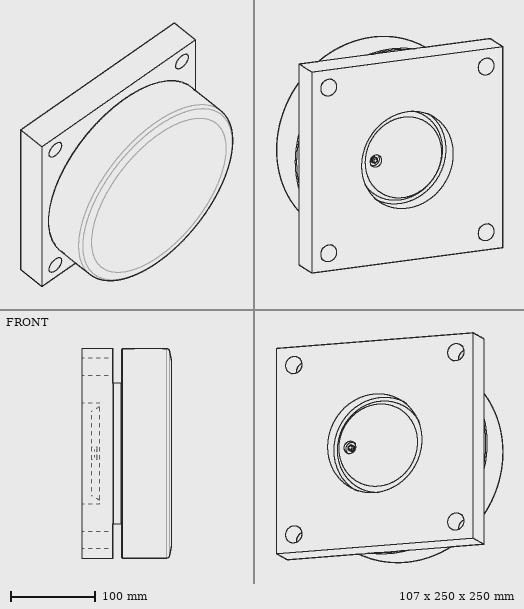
import cadquery as cq
import math

plate_side = 250.0
plate_thickness = 37.0
mount_hole_diameter = 20.8
mount_hole_spacing = 206.0

neck_diameter = 168.0
neck_chamfer = 0.5

roller_start = 47.0
overall_length = 107.0
crown_diameter = 250.0
crown_radius = 1500.0
crown_middle = 74.5
rim_chamfer = 1.2
nose_corner = 104.0
nose_diameter = 219.0
nose_fillet = 4.0

bore_diameter = 120.0
bore_depth = 21.0
hub_diameter = 111.0
hub_face_diameter = 100.0
hub_face_depth = 11.5

nipple_offset = 36.0
nipple_pocket_diameter = 15.0
nipple_pocket_depth = 6.5
hex_across_flats = 7.0
hex_height = 3.0
nipple_head_diameter = 6.5
nipple_tip_diameter = 4.2
nipple_head_height = 2.0


def disc(start, length, diameter):
    """Cylinder about the X axis, running toward +X from the given start."""
    return cq.Workplane("YZ", origin=(start, 0, 0)).circle(diameter / 2).extrude(length)


def crown_height(x):
    """Radius of the crowned tread at the given X."""
    drop = crown_radius - math.sqrt(crown_radius**2 - (x - crown_middle) ** 2)
    return crown_diameter / 2 - drop


def make_plate():
    plate = cq.Workplane("YZ").rect(plate_side, plate_side).extrude(plate_thickness)
    holes = (
        cq.Workplane("YZ")
        .rect(mount_hole_spacing, mount_hole_spacing, forConstruction=True)
        .vertices()
        .circle(mount_hole_diameter / 2)
        .extrude(plate_thickness)
    )
    return plate.cut(holes)


def make_neck():
    neck = disc(plate_thickness, roller_start - plate_thickness, neck_diameter)
    return neck.edges().chamfer(neck_chamfer)


def make_roller():
    tread_start = roller_start + rim_chamfer
    roller = (
        cq.Workplane("XY")
        .moveTo(roller_start, 0)
        .lineTo(roller_start, crown_height(tread_start) - rim_chamfer)
        .lineTo(tread_start, crown_height(tread_start))
        .threePointArc(
            (crown_middle, crown_diameter / 2),
            (nose_corner, crown_height(nose_corner)),
        )
        .lineTo(overall_length, nose_diameter / 2)
        .lineTo(overall_length, 0)
        .close()
        .revolve(360, (0, 0, 0), (1, 0, 0))
    )
    corner = cq.selectors.BoxSelector(
        (nose_corner - rim_chamfer, -crown_diameter, -crown_diameter),
        (nose_corner + rim_chamfer, crown_diameter, crown_diameter),
    )
    return roller.edges(corner).fillet(nose_fillet)


def cone(start, start_diameter, length, end_diameter):
    """Truncated cone about the X axis; a negative length runs toward -X."""
    return (
        cq.Workplane("YZ", origin=(start, 0, 0))
        .circle(start_diameter / 2)
        .workplane(offset=length)
        .circle(end_diameter / 2)
        .loft()
    )


def make_hub_end():
    return cone(hub_face_depth, hub_face_diameter, bore_depth - hub_face_depth, hub_diameter)


def make_nipple():
    pocket_floor = hub_face_depth + nipple_pocket_depth
    hex_face = pocket_floor - hex_height
    hex_corners = hex_across_flats / math.cos(math.pi / 6)
    base = (
        cq.Workplane("YZ", origin=(pocket_floor, nipple_offset, 0))
        .transformed(rotate=(0, 0, 90))
        .polygon(6, hex_corners)
        .extrude(-hex_height)
    )
    head = cone(hex_face, nipple_head_diameter, -nipple_head_height, nipple_tip_diameter)
    return base.union(head.translate((0, nipple_offset, 0)))


bore = disc(0, bore_depth, bore_diameter)
nipple_pocket = disc(hub_face_depth, nipple_pocket_depth, nipple_pocket_diameter).translate(
    (0, nipple_offset, 0)
)

body = make_plate().union(make_neck()).union(make_roller())
body = body.cut(bore).union(make_hub_end())
result = body.cut(nipple_pocket).union(make_nipple())